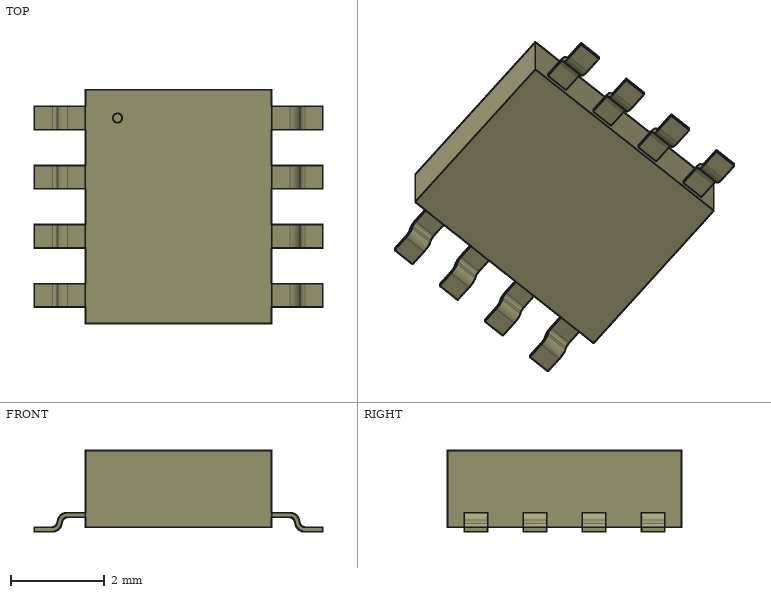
import cadquery as cq
import math

BODY_LENGTH_X = 4.0
BODY_WIDTH_Y = 5.03
OVERALL_HEIGHT = 1.75
STANDOFF = 0.1

OVERALL_SPAN_X = 6.2
LEADS_PER_SIDE = 4
LEAD_PITCH = 1.27
LEAD_WIDTH = 0.508
LEAD_THICKNESS = 0.105
LEAD_TOP_Z = 0.415
FOOT_LENGTH = 0.385
INNER_BEND_RADIUS = 0.105
BEND_ANGLE = 75.0

MARKER_DIAMETER = 0.2
MARKER_DEPTH = 0.1
MARKER_EDGE_DISTANCE = 0.69

OUTER_BEND_RADIUS = INNER_BEND_RADIUS + LEAD_THICKNESS
FIRST_LEAD_Y = LEAD_PITCH * (LEADS_PER_SIDE - 1) / 2
MARKER_X = -BODY_LENGTH_X / 2 + MARKER_EDGE_DISTANCE
MARKER_Y = FIRST_LEAD_Y


def make_marker():
    return (
        cq.Workplane("XY", origin=(MARKER_X, MARKER_Y, OVERALL_HEIGHT - MARKER_DEPTH))
        .circle(MARKER_DIAMETER / 2)
        .extrude(MARKER_DEPTH)
    )


def make_body(marker):
    block = cq.Workplane("XY", origin=(0, 0, STANDOFF)).box(
        BODY_LENGTH_X,
        BODY_WIDTH_Y,
        OVERALL_HEIGHT - STANDOFF,
        centered=(True, True, False),
    )
    return block.cut(marker)


def arc_point(centre, radius, degrees):
    """Point on a bend, with the angle measured from +X towards +Z."""
    angle = math.radians(degrees)
    return (centre[0] + radius * math.cos(angle), centre[1] + radius * math.sin(angle))


def make_left_lead(y_centre):
    """Lead on the -X side: flat foot, two equal and opposite bends, flat shoulder."""
    tip_x = -OVERALL_SPAN_X / 2
    body_x = -BODY_LENGTH_X / 2
    shoulder_bottom_z = LEAD_TOP_Z - LEAD_THICKNESS

    slope = math.radians(BEND_ANGLE)
    bends_radius = INNER_BEND_RADIUS + OUTER_BEND_RADIUS
    bends_rise = bends_radius * (1 - math.cos(slope))
    slope_rise = shoulder_bottom_z - bends_rise
    bends_run = bends_radius * math.sin(slope) + slope_rise / math.tan(slope)
    lower = (tip_x + FOOT_LENGTH, LEAD_THICKNESS + INNER_BEND_RADIUS)
    upper = (lower[0] + bends_run, shoulder_bottom_z - INNER_BEND_RADIUS)

    lower_start, lower_middle, lower_end = -90, -90 + BEND_ANGLE / 2, -90 + BEND_ANGLE
    upper_start, upper_middle, upper_end = 90 + BEND_ANGLE, 90 + BEND_ANGLE / 2, 90

    profile = (
        cq.Workplane("XZ", origin=(0, y_centre + LEAD_WIDTH / 2, 0))
        .moveTo(tip_x, 0)
        .lineTo(*arc_point(lower, OUTER_BEND_RADIUS, lower_start))
        .threePointArc(
            arc_point(lower, OUTER_BEND_RADIUS, lower_middle),
            arc_point(lower, OUTER_BEND_RADIUS, lower_end),
        )
        .lineTo(*arc_point(upper, INNER_BEND_RADIUS, upper_start))
        .threePointArc(
            arc_point(upper, INNER_BEND_RADIUS, upper_middle),
            arc_point(upper, INNER_BEND_RADIUS, upper_end),
        )
        .lineTo(body_x, shoulder_bottom_z)
        .lineTo(body_x, LEAD_TOP_Z)
        .lineTo(*arc_point(upper, OUTER_BEND_RADIUS, upper_end))
        .threePointArc(
            arc_point(upper, OUTER_BEND_RADIUS, upper_middle),
            arc_point(upper, OUTER_BEND_RADIUS, upper_start),
        )
        .lineTo(*arc_point(lower, INNER_BEND_RADIUS, lower_end))
        .threePointArc(
            arc_point(lower, INNER_BEND_RADIUS, lower_middle),
            arc_point(lower, INNER_BEND_RADIUS, lower_start),
        )
        .lineTo(tip_x, LEAD_THICKNESS)
        .close()
    )
    return profile.extrude(LEAD_WIDTH)


def make_leads():
    leads = []
    for index in range(LEADS_PER_SIDE):
        left_lead = make_left_lead(FIRST_LEAD_Y - index * LEAD_PITCH)
        leads.append(left_lead)
        leads.append(left_lead.mirror("YZ"))
    return leads


marker = make_marker()
body = make_body(marker)
leads = make_leads()

result = cq.Compound.makeCompound(
    [body.val(), marker.val(), *[lead.val() for lead in leads]]
)